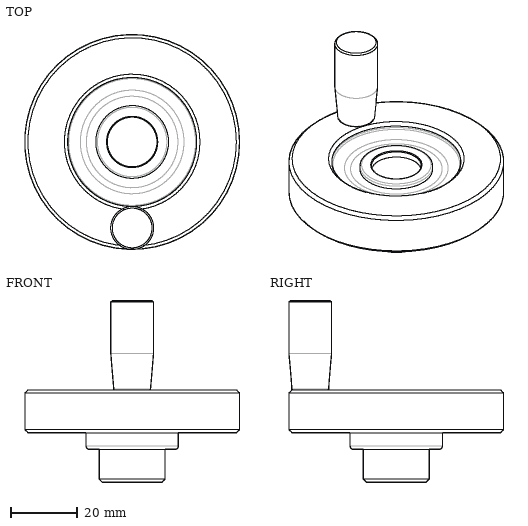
import cadquery as cq

FLANGE_BOTTOM = 10.0
DISC_BOTTOM = 15.0
DISC_TOP = 28.0
HANDLE_TOP = 55.0

BOSS_RADIUS = 10.0
FLANGE_RADIUS = 14.0
DISC_RADIUS = 32.5
EDGE_CHAMFER = 1.0
FLANGE_FILLET = 1.0

DISH_RADIUS = 19.5
DISH_CHAMFER = 1.0
DISH_FLOOR = 24.3
CONE_TOP = 26.15
CONE_FOOT_RADIUS = 14.8
WALL_FILLET = 0.5
FLOOR_FILLET = 5.0

RING_RADIUS = 11.0
RING_TOP = 25.8
RING_FILLET = 0.5
BORE_RADIUS = 7.5
BORE_FLOOR = 23.7
BORE_CHAMFER = 0.25

HANDLE_RADIUS = 6.5
HANDLE_OFFSET = DISC_RADIUS - HANDLE_RADIUS
HANDLE_GRIP_LENGTH = 16.0
HANDLE_NECK_RADIUS = 5.6
HANDLE_TOP_CHAMFER = 0.5
HANDLE_FOOT_FILLET = 0.3


def cylinder(radius, bottom, top):
    return cq.Workplane("XY").workplane(offset=bottom).circle(radius).extrude(top - bottom)


def revolve_about_z(outline):
    return outline.close().revolve(360, (0, 0, 0), (0, 1, 0))


def make_body():
    boss = cylinder(BOSS_RADIUS, 0, DISC_BOTTOM).faces("<Z").chamfer(EDGE_CHAMFER)
    flange = cylinder(FLANGE_RADIUS, FLANGE_BOTTOM, DISC_BOTTOM).faces("<Z").edges().fillet(FLANGE_FILLET)
    disc = cylinder(DISC_RADIUS, DISC_BOTTOM, DISC_TOP).edges().chamfer(EDGE_CHAMFER)
    return disc.union(flange).union(boss)


def make_dish():
    """Space of the dish: chamfered mouth, short wall and a cone with rounded runs into wall and floor."""
    outline = (
        cq.Workplane("XZ")
        .moveTo(0, DISC_TOP)
        .lineTo(DISH_RADIUS + DISH_CHAMFER, DISC_TOP)
        .lineTo(DISH_RADIUS, DISC_TOP - DISH_CHAMFER)
        .lineTo(DISH_RADIUS, CONE_TOP)
        .lineTo(CONE_FOOT_RADIUS, DISH_FLOOR)
        .lineTo(0, DISH_FLOOR)
    )
    dish = revolve_about_z(outline).faces("<Z").edges("%CIRCLE").fillet(FLOOR_FILLET)
    wall_edges = dish.edges(cq.selectors.RadiusNthSelector(-2))
    return wall_edges.edges("<Z").fillet(WALL_FILLET)


def make_ring():
    return cylinder(RING_RADIUS, DISH_FLOOR, RING_TOP).faces(">Z").edges().fillet(RING_FILLET)


def make_bore():
    """Space of the shallow blind bore with its chamfered mouth."""
    outline = (
        cq.Workplane("XZ")
        .moveTo(0, BORE_FLOOR)
        .lineTo(BORE_RADIUS, BORE_FLOOR)
        .lineTo(BORE_RADIUS, RING_TOP - BORE_CHAMFER)
        .lineTo(BORE_RADIUS + BORE_CHAMFER, RING_TOP)
        .lineTo(0, RING_TOP)
    )
    return revolve_about_z(outline)


def make_handle():
    """Cylindrical grip that tapers below to a narrower neck with a rounded foot."""
    outline = (
        cq.Workplane("XZ")
        .moveTo(0, DISC_TOP)
        .lineTo(HANDLE_NECK_RADIUS - HANDLE_FOOT_FILLET, DISC_TOP)
        .radiusArc((HANDLE_NECK_RADIUS, DISC_TOP + HANDLE_FOOT_FILLET), -HANDLE_FOOT_FILLET)
        .lineTo(HANDLE_RADIUS, HANDLE_TOP - HANDLE_GRIP_LENGTH)
        .lineTo(HANDLE_RADIUS, HANDLE_TOP - HANDLE_TOP_CHAMFER)
        .lineTo(HANDLE_RADIUS - HANDLE_TOP_CHAMFER, HANDLE_TOP)
        .lineTo(0, HANDLE_TOP)
    )
    return revolve_about_z(outline).translate((0, -HANDLE_OFFSET, 0))


result = make_body().cut(make_dish()).union(make_ring()).cut(make_bore()).union(make_handle())